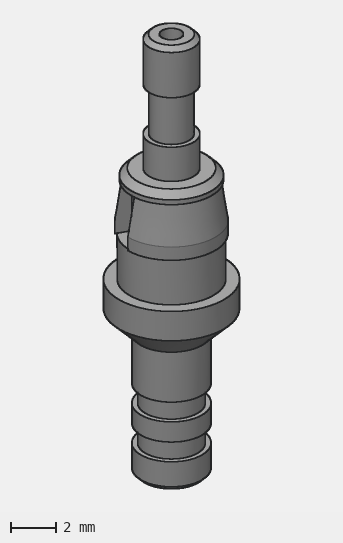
import cadquery as cq

total_length = 22.0
bore_diameter = 1.05

tail_diameter = 3.5
tail_groove_diameter = 3.0
tail_top = 7.0
tail_chamfer = 0.25
groove_width = 1.0
groove_bottoms = (1.5, 3.5)

flange_diameter = 6.0
flange_cone_height = (flange_diameter - tail_diameter) / 2
flange_bottom = tail_top + flange_cone_height
flange_top = 9.72

body_diameter = 4.8
band_diameter = 5.0
band_bottom = 12.01
band_top = 12.7
taper_top_diameter = 4.4
collar_diameter = 4.6
collar_bottom = 14.7
collar_top = 15.3
collar_chamfer = 0.35

slot_width = 1.65
slot_floor_diameter = 3.5

pin_diameter = 2.5
pin_chamfer = 0.25
pin_neck_diameter = 2.0
pin_neck_bottom = 17.0
pin_neck_top = 19.5


def cylinder(diameter, bottom, top):
    """Cylinder on the Z axis between two heights."""
    return cq.Workplane("XY").workplane(offset=bottom).circle(diameter / 2).extrude(top - bottom)


def cone(bottom_diameter, top_diameter, bottom, top):
    """Truncated cone on the Z axis between two heights."""
    profile = [(0, bottom), (bottom_diameter / 2, bottom), (top_diameter / 2, top), (0, top)]
    return cq.Workplane("XZ").polyline(profile).close().revolve(360, (0, 0, 0), (0, 1, 0))


def ring_groove(outer_diameter, floor_diameter, bottom, top):
    """Ring of material to cut away around a shaft."""
    return cylinder(outer_diameter, bottom, top).cut(cylinder(floor_diameter, bottom, top))


def make_tail():
    tail = cylinder(tail_diameter, 0, tail_top).faces("<Z").chamfer(tail_chamfer)
    for bottom in groove_bottoms:
        tail = tail.cut(ring_groove(tail_diameter, tail_groove_diameter, bottom, bottom + groove_width))
    return tail


def make_flange():
    rim = cylinder(flange_diameter, flange_bottom, flange_top)
    return rim.union(cone(tail_diameter, flange_diameter, tail_top, flange_bottom))


def make_slot_cutter():
    """Block on the -Y side whose inner face follows the round slot floor."""
    height = collar_bottom - band_bottom
    block = (
        cq.Workplane("XY")
        .workplane(offset=band_bottom)
        .rect(slot_width, band_diameter)
        .extrude(height)
        .translate((0, -band_diameter / 2, 0))
    )
    return block.cut(cylinder(slot_floor_diameter, band_bottom, collar_bottom))


def make_latching_body():
    body = cylinder(body_diameter, flange_top, band_bottom)
    body = body.union(cylinder(band_diameter, band_bottom, band_top))
    body = body.union(cone(band_diameter, taper_top_diameter, band_top, collar_bottom))
    collar = cylinder(collar_diameter, collar_bottom, collar_top).faces(">Z").chamfer(collar_chamfer)
    return body.union(collar).cut(make_slot_cutter())


def make_pin():
    pin = cylinder(pin_diameter, collar_top, total_length).faces(">Z").chamfer(pin_chamfer)
    return pin.cut(ring_groove(pin_diameter, pin_neck_diameter, pin_neck_bottom, pin_neck_top))


outside = make_tail().union(make_flange()).union(make_latching_body()).union(make_pin())
result = outside.cut(cylinder(bore_diameter, 0, total_length))